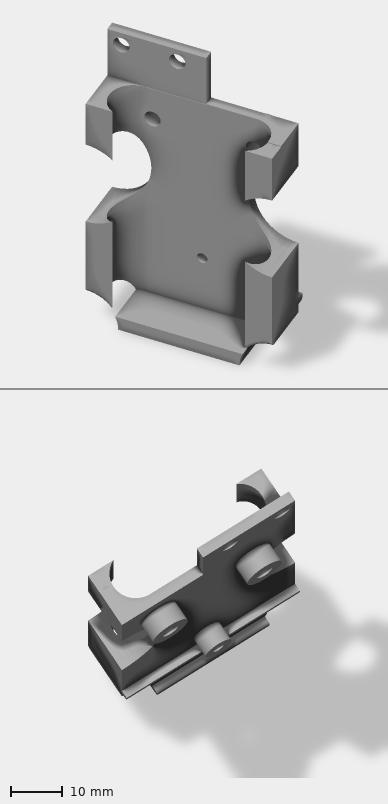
import cadquery as cq

body_width = 40.0
body_depth = 12.0
body_height = 53.5
half_width = body_width / 2

pocket_radius = 5.1
pocket_axis_x = 12.0
pocket_axis_y = 4.6
pocket_floor_y = pocket_axis_y + pocket_radius
shelf_height = 3.0

tab_width = 21.25
tab_thickness = 2.2
tab_right_x = tab_width - half_width
tab_top_z = 65.0
tab_hole_z = 62.0
tab_hole_xs = (-17.0, -5.0)

step_height = 0.2
step_front_y = 4.1

left_notch_z = 33.9
right_notch_z = 33.65
notch_radius = 9.5
corner_radius = 7.0
corner_edge_fillet = 0.9

rib_depth = 1.7
rib_height = 1.5
upper_rib_z = 9.0
lower_rib_width = 2 * (half_width - corner_radius)
rib_edge_fillet = 0.6

boss_height = 4.2
screw_hole_diameter = 3.5
screw_boss_diameter = 8.0
screw_boss_xs = (-10.25, 11.5)
screw_boss_z = 46.1
pin_hole_diameter = 2.3
pin_boss_diameter = 6.0
pin_boss_x = 0.4
pin_boss_z = 15.3


def block(x_range, y_range, z_range):
    """Box spanning the given (low, high) ranges."""
    low, high = zip(x_range, y_range, z_range)
    size = [b - a for a, b in zip(low, high)]
    return cq.Workplane("XY").box(*size, centered=False).translate(low)


def rod(x, z, diameter, y_start, y_end):
    """Cylinder parallel to Y between two Y positions."""
    solid = cq.Solid.makeCylinder(
        diameter / 2, y_end - y_start, cq.Vector(x, y_start, z), cq.Vector(0, 1, 0)
    )
    return cq.Workplane(obj=solid)


def make_body():
    body = block((-half_width, half_width), (0, body_depth), (0, body_height))
    step = block(
        (tab_right_x, half_width),
        (step_front_y, body_depth),
        (body_height, body_height + step_height),
    )
    tab = block(
        (-half_width, tab_right_x),
        (body_depth - tab_thickness, body_depth),
        (body_height, tab_top_z),
    )
    return body.union(step).union(tab)


def make_side_cuts():
    """Side notches and bottom corner cuts, all running through the depth."""
    cuts = rod(-half_width, left_notch_z, 2 * notch_radius, 0, body_depth)
    cuts = cuts.union(rod(half_width, right_notch_z, 2 * notch_radius, 0, body_depth))
    for x in (-half_width, half_width):
        cuts = cuts.union(rod(x, 0, 2 * corner_radius, 0, body_depth))
    return cuts


def make_corner_edge_cut(x):
    """Flared disc that rounds the front edge of a bottom corner cut above the shelf."""
    outer = corner_radius + corner_edge_fillet
    profile = (
        cq.Workplane("XY")
        .lineTo(outer, 0)
        .radiusArc((corner_radius, corner_edge_fillet), corner_edge_fillet)
        .lineTo(0, corner_edge_fillet)
        .close()
    )
    flare = profile.revolve(axisStart=(0, 0, 0), axisEnd=(0, 1, 0)).translate((x, 0, 0))
    above_shelf = block(
        (-half_width, half_width), (0, body_depth), (shelf_height, body_height)
    )
    return flare.intersect(above_shelf)


def make_pocket():
    """Pocket between the two rounded walls, with a flat floor."""
    top_z = body_height + step_height
    pocket_height = top_z - shelf_height
    pocket = block(
        (-pocket_axis_x, pocket_axis_x), (0, pocket_floor_y), (shelf_height, top_z)
    )
    walls = (
        cq.Workplane("XY", origin=(0, 0, shelf_height))
        .pushPoints([(-pocket_axis_x, pocket_axis_y), (pocket_axis_x, pocket_axis_y)])
        .circle(pocket_radius)
        .extrude(pocket_height)
    )
    return pocket.union(walls)


def make_rib(width, bottom_z, rounded_edge):
    rib = block(
        (-width / 2, width / 2),
        (body_depth, body_depth + rib_depth),
        (bottom_z, bottom_z + rib_height),
    )
    return rib.faces(">Y").edges(rounded_edge).fillet(rib_edge_fillet)


def add_drilled_boss(part, x, z, boss_diameter, hole_diameter):
    boss_end_y = body_depth + boss_height
    boss = rod(x, z, boss_diameter, body_depth, boss_end_y)
    hole = rod(x, z, hole_diameter, 0, boss_end_y)
    return part.union(boss).cut(hole)


result = make_body().cut(make_pocket()).cut(make_side_cuts())
for corner_x in (-half_width, half_width):
    result = result.cut(make_corner_edge_cut(corner_x))

result = result.union(make_rib(body_width, upper_rib_z, "<Z"))
result = result.union(make_rib(lower_rib_width, 0, ">Z"))

for boss_x in screw_boss_xs:
    result = add_drilled_boss(
        result, boss_x, screw_boss_z, screw_boss_diameter, screw_hole_diameter
    )
result = add_drilled_boss(
    result, pin_boss_x, pin_boss_z, pin_boss_diameter, pin_hole_diameter
)

for hole_x in tab_hole_xs:
    result = result.cut(rod(hole_x, tab_hole_z, screw_hole_diameter, 0, body_depth))